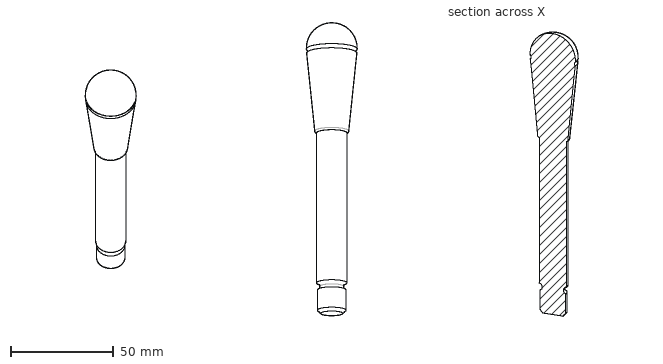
import cadquery as cq
import math

total_length = 145.0
grip_radius = 25.0 / 2

shaft_radius = 15.0 / 2
end_radius = 14.0 / 2
neck_radius = 11.7 / 2
end_chamfer = 1.6
end_top = 11.7
neck_height = 13.5
shaft_bottom = 15.2
neck_arc_inset = 0.5
neck_arc_rise = 1.2

grip_bottom = 90.2
grip_bottom_radius = 16.5 / 2
grip_rounding = 1.0
taper_top = 130.0
taper_top_radius = 24.6 / 2

groove_width = 2.0
groove_depth = 0.5
groove_top = taper_top + groove_width
groove_middle = taper_top + groove_width / 2

dome_center = total_length - grip_radius
dome_base_radius = math.sqrt(grip_radius**2 - (dome_center - groove_top) ** 2)


def make_lower_pin():
    """Chamfered end, hollow-flanked neck and plain shaft, up to the grip."""
    return (
        cq.Workplane("XZ")
        .lineTo(end_radius - end_chamfer, 0)
        .lineTo(end_radius, end_chamfer)
        .lineTo(end_radius, end_top)
        .threePointArc(
            (neck_radius + neck_arc_inset, neck_height - neck_arc_rise),
            (neck_radius, neck_height),
        )
        .threePointArc(
            (neck_radius + neck_arc_inset, neck_height + neck_arc_rise),
            (shaft_radius, shaft_bottom),
        )
        .lineTo(shaft_radius, grip_bottom)
        .lineTo(0, grip_bottom)
        .close()
        .revolve(360, (0, 0, 0), (0, 1, 0))
    )


def make_grip():
    """Tapered body with a rounded foot, a shallow groove and a domed top."""
    dome_shoulder = grip_radius * math.sqrt(0.5)
    body = (
        cq.Workplane("XZ")
        .moveTo(0, grip_bottom)
        .lineTo(grip_bottom_radius, grip_bottom)
        .lineTo(taper_top_radius, taper_top)
        .threePointArc(
            (taper_top_radius - groove_depth, groove_middle),
            (dome_base_radius, groove_top),
        )
        .threePointArc(
            (dome_shoulder, dome_center + dome_shoulder),
            (0, total_length),
        )
        .close()
        .revolve(360, (0, 0, 0), (0, 1, 0))
    )
    return body.faces("<Z").edges().fillet(grip_rounding)


result = make_lower_pin().union(make_grip())